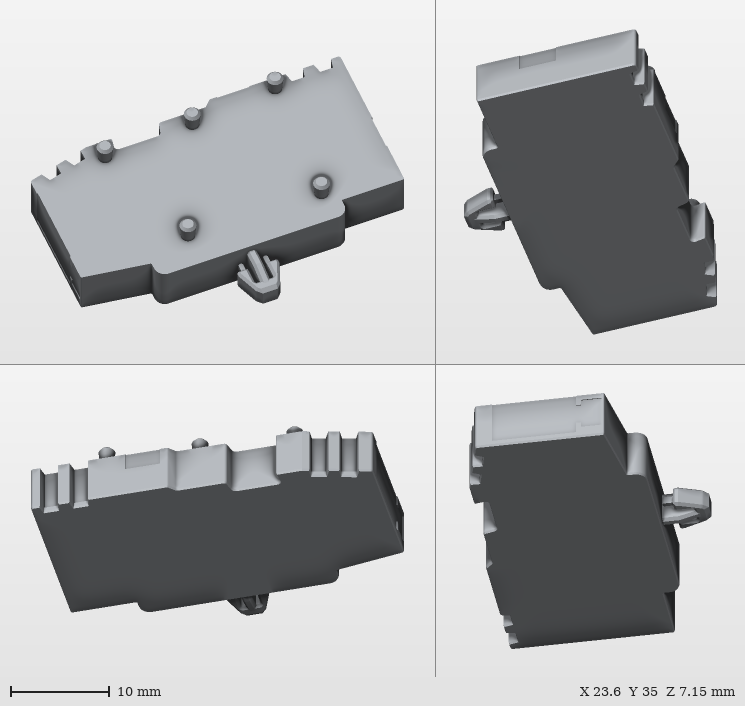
import cadquery as cq
import math

length = 35.0
body_height = 5.15
base_edge_height = 0.22
base_edge_inset = 0.1

upper_right_x = 16.91
rail_right_x = 18.76
rail_bottom_y = 7.29
rail_top_y = 28.12
lower_right_x = 15.82
rail_radius = 1.15

left_step_x = 0.77
shoulder_top_y = 20.73
shoulder_bottom_y = shoulder_top_y - left_step_x

slot_floor_x = 2.28
slot_bottom_mouth_y = 9.68
slot_bottom_floor_y = 9.4
slot_top_floor_y = 14.42
slot_top_mouth_y = 14.82

slope_top_y = 6.9
slope_bottom_x = 2.58
slope_angle = math.degrees(math.atan2(slope_bottom_x - left_step_x, slope_top_y))

small_radius = 0.3
edge_radius = 0.15
slot_bottom_radius = 0.4
slot_top_radius = 0.5

notch_mouth = 1.9
notch_floor = 1.4
notch_depth = 1.1
ledge_width = 0.15
ledge_height = 0.65
upper_notch_ys = (33.07, 29.98)
lower_notch_ys = (5.25, 2.3)

recess_depth = 0.1
side_recess_height = 1.93
left_recess_y = (21.52, 25.08)
back_recess_x = (8.46, 12.32)
front_recess_x = (4.3, 12.95)
front_recess_floor_z = 0.63
tab_neck_z = (1.8, 3.98)
tab_z = (1.24, 4.58)
tab_x = (13.45, 15.55)

peg_places = ((1.29, 27.35), (15.35, 26.56), (2.23, 17.89), (15.08, 12.05), (2.71, 8.13))
peg_height = 2.0
peg_base_radius = 0.72
peg_rim_radius = 0.85
peg_tip_radius = 0.58
peg_tip_height = 0.3

clip_y = length / 2
clip_z = 2.65
clip_tip_x = 23.62
spine_half_width = 0.52
spine_half_height = 1.7
spine_bevel_y = 0.26
spine_bevel_z = 0.32
spine_taper_x = 20.5
spine_end_x = 22.7
spine_end_half_height = 1.12
head_half_height = 1.13
head_bevel = 0.28
tip_half_width = 0.8
head_half_width = 1.32
head_shoulder_x = 23.08
head_shoulder_radius = 0.6
nose_start_x = 23.15
gap_end_x = 22.13
gap_radius = 0.22
arm_inner_y = 1.02
barb_x = 20.13
barb_peak_x = 20.7
barb_peak_y = 2.24
barb_back_bevel = 0.22
tail_end_x = 18.94
tail_y = (1.1, 1.6)
tail_half_height = 0.4
tail_end_radius = 0.24


def fillet_upright_edges(solid, corners, radius):
    """Round the vertical edges standing on the given XY corners."""
    tolerance = 0.01

    def stands_on_corner(edge):
        middle = edge.Center()
        return any(math.hypot(middle.x - x, middle.y - y) < tolerance for x, y in corners)

    return solid.edges("|Z").filter(stands_on_corner).fillet(radius)


def make_plate():
    top_left = (0, length)
    top_right = (upper_right_x, length)
    rail_top_root = (upper_right_x, rail_top_y)
    rail_top = (rail_right_x, rail_top_y)
    rail_bottom = (rail_right_x, rail_bottom_y)
    rail_bottom_root = (upper_right_x, rail_bottom_y)
    foot_right = (lower_right_x, 0)
    foot_left = (slope_bottom_x, 0)
    slope_top = (left_step_x, slope_top_y)
    slot_bottom_mouth = (left_step_x, slot_bottom_mouth_y)
    slot_bottom_floor = (slot_floor_x, slot_bottom_floor_y)
    slot_top_floor = (slot_floor_x, slot_top_floor_y)
    slot_top_mouth = (left_step_x, slot_top_mouth_y)
    shoulder_bottom = (left_step_x, shoulder_bottom_y)
    shoulder_top = (0, shoulder_top_y)
    outline = [
        top_left, top_right, rail_top_root, rail_top, rail_bottom, rail_bottom_root,
        foot_right, foot_left, slope_top, slot_bottom_mouth, slot_bottom_floor,
        slot_top_floor, slot_top_mouth, shoulder_bottom, shoulder_top,
    ]
    plate = (
        cq.Workplane("XY", origin=(0, 0, base_edge_height))
        .polyline(outline).close()
        .extrude(body_height - base_edge_height)
    )
    plate = fillet_upright_edges(plate, [rail_top, rail_bottom], rail_radius)
    plate = fillet_upright_edges(plate, [slot_bottom_floor], slot_bottom_radius)
    plate = fillet_upright_edges(plate, [slot_top_floor], slot_top_radius)
    plate = fillet_upright_edges(
        plate,
        [top_left, foot_left, shoulder_bottom, shoulder_top, slot_top_mouth],
        small_radius)
    plate = fillet_upright_edges(
        plate,
        [top_right, rail_top_root, rail_bottom_root, foot_right, slot_bottom_mouth],
        edge_radius)
    return plate


def make_notch_cutter(x, y, angle):
    """Notch entering along +X at the edge point (x, y), turned by angle about Z."""
    ledge_depth = notch_depth - ledge_width
    overshoot = 0.5
    flank_slope = (notch_mouth - notch_floor) / 2 / notch_depth

    def trapezoid(depth, bottom_z):
        outer_half = notch_mouth / 2 + flank_slope * overshoot
        inner_half = notch_mouth / 2 - flank_slope * depth
        return (
            cq.Workplane("XY", origin=(0, 0, bottom_z))
            .polyline([(-overshoot, -outer_half), (depth, -inner_half),
                       (depth, inner_half), (-overshoot, outer_half)])
            .close()
            .extrude(body_height - bottom_z)
        )

    cutter = trapezoid(ledge_depth, base_edge_height).union(trapezoid(notch_depth, ledge_height))
    return cutter.rotate((0, 0, 0), (0, 0, 1), angle).translate((x, y, 0))


def cut_notches(body):
    for y in upper_notch_ys:
        body = body.cut(make_notch_cutter(0, y, 0))
    for y in lower_notch_ys:
        x = left_step_x + (slope_top_y - y) * math.tan(math.radians(slope_angle))
        body = body.cut(make_notch_cutter(x, y, slope_angle))
    return body


def add_base_rim(body):
    """Close the underside with a thin layer whose sides lean inward toward the bottom."""
    rim_angle = math.degrees(math.atan2(base_edge_inset, base_edge_height))
    rim = (
        body.faces("<Z").wires().toPending()
        .workplane()
        .extrude(base_edge_height, taper=rim_angle, combine=False)
    )
    return body.union(rim)


def box_between(x_range, y_range, z_range):
    size = [high - low for low, high in (x_range, y_range, z_range)]
    return (
        cq.Workplane("XY", origin=(x_range[0], y_range[0], z_range[0]))
        .box(*size, centered=False)
    )


def cut_side_recesses(body):
    side_z = (body_height - side_recess_height, body_height)
    front_y = (0, recess_depth)
    recesses = [
        box_between((0, recess_depth), left_recess_y, side_z),
        box_between(back_recess_x, (length - recess_depth, length), side_z),
        box_between(front_recess_x, front_y, (front_recess_floor_z, body_height)),
        box_between((front_recess_x[1], tab_x[0]), front_y, tab_neck_z),
        box_between(tab_x, front_y, tab_z),
    ]
    for recess in recesses:
        body = body.cut(recess)
    return body


def make_peg(x, y):
    sink = 0.2
    rim_z = peg_height - peg_tip_height
    return (
        cq.Workplane("XZ")
        .polyline([(0, -sink), (-peg_base_radius, -sink), (-peg_base_radius, 0),
                   (-peg_rim_radius, rim_z), (-peg_tip_radius, peg_height), (0, peg_height)])
        .close()
        .revolve(360, (0, 0), (0, 1))
        .translate((x, y, body_height))
    )


def make_clip_spine():
    """Bevelled bar reaching out of the housing, tapering in height toward the head."""
    root_overlap = 1.0
    root_x = rail_right_x - root_overlap

    def section(x, half_height):
        y_flat = spine_half_width - spine_bevel_y
        z_flat = half_height - spine_bevel_z
        return (
            cq.Workplane("YZ", origin=(x, 0, 0))
            .polyline([(y_flat, half_height), (spine_half_width, z_flat),
                       (spine_half_width, -z_flat), (y_flat, -half_height),
                       (-y_flat, -half_height), (-spine_half_width, -z_flat),
                       (-spine_half_width, z_flat), (-y_flat, half_height)])
            .close()
        )

    straight = section(root_x, spine_half_height).extrude(spine_taper_x - root_x)
    start_wire = section(spine_taper_x, spine_half_height).wire().val()
    end_wire = section(spine_end_x, spine_end_half_height).wire().val()
    tapered = cq.Workplane(cq.Solid.makeLoft([start_wire, end_wire], True))
    return straight.union(tapered)


def make_clip_head():
    """Arrow-shaped head with two arms folded back beside the spine."""
    upper_half = [
        (clip_tip_x, tip_half_width), (head_shoulder_x, head_half_width),
        (barb_peak_x, barb_peak_y), (barb_x, barb_peak_y), (barb_x, arm_inner_y),
        (gap_end_x, arm_inner_y), (gap_end_x, spine_half_width),
    ]
    lower_half = [(x, -y) for x, y in reversed(upper_half)]
    head = (
        cq.Workplane("XY", origin=(0, 0, -head_half_height))
        .polyline(upper_half + lower_half).close()
        .extrude(2 * head_half_height)
    )
    gap_corners = [(gap_end_x, arm_inner_y), (gap_end_x, -arm_inner_y)]
    head = fillet_upright_edges(head, gap_corners, gap_radius)
    shoulders = [(head_shoulder_x, head_half_width), (head_shoulder_x, -head_half_width)]
    head = fillet_upright_edges(head, shoulders, head_shoulder_radius)
    head = head.faces("|Z").edges().chamfer(head_bevel)
    for side in (1, -1):
        barb_corner = (
            cq.Workplane("XY", origin=(0, 0, -head_half_height))
            .polyline([(barb_x, side * (barb_peak_y - barb_back_bevel)), (barb_x, side * barb_peak_y),
                       (barb_x + barb_back_bevel, side * barb_peak_y)])
            .close()
            .extrude(2 * head_half_height)
        )
        head = head.cut(barb_corner)
    tip_half_height = head_half_height - head_bevel
    side_profile = (
        cq.Workplane("XZ")
        .polyline([(barb_x, head_half_height), (nose_start_x, head_half_height),
                   (clip_tip_x, tip_half_height), (clip_tip_x, -tip_half_height),
                   (nose_start_x, -head_half_height), (barb_x, -head_half_height)])
        .close()
        .extrude(barb_peak_y, both=True)
    )
    return head.intersect(side_profile)


def make_clip_tail():
    """Small rounded finger trailing from the barb on the +Y side."""
    overlap = 0.5
    tail = box_between((tail_end_x, barb_x + overlap), tail_y, (-tail_half_height, tail_half_height))
    return tail.edges("|Z and <X").fillet(tail_end_radius)


def make_clip():
    tail = make_clip_tail()
    clip = make_clip_spine().union(make_clip_head()).union(tail).union(tail.mirror("XZ"))
    return clip.translate((0, clip_y, clip_z))


body = cut_side_recesses(add_base_rim(cut_notches(make_plate())))
for peg_x, peg_y in peg_places:
    body = body.union(make_peg(peg_x, peg_y))
result = body.union(make_clip())